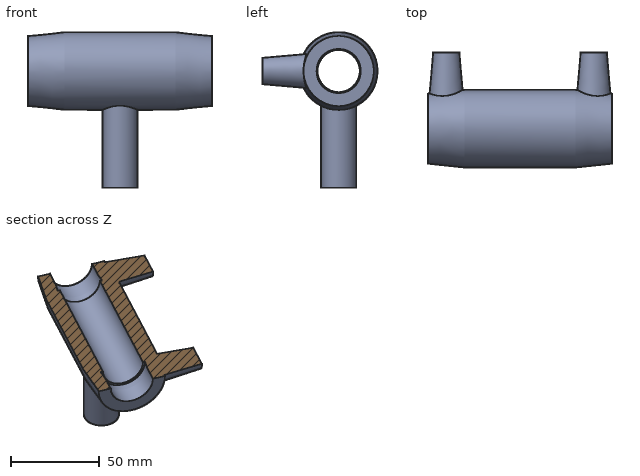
import cadquery as cq

length = 104.0
half_length = length / 2
barrel_dia = 44.0
barrel_end_dia = 0.9 * barrel_dia
taper_length = length / 5
straight_half = half_length - taper_length

bore_dia = 23.75
mouth_dia = 25.0
mouth_depth = length / 10
seat_dia = 26.25
seat_depth = 15.2

stem_dia = 20.0
stem_reach = 66.0

spigot_root_dia = 20.0
spigot_tip_dia = 15.0
spigot_reach = 43.0
spigot_root_y = 14.3
spigot_x = half_length - taper_length / 2


def revolve_about_x(left_half):
    """Turn a profile given as (x, radius) points up to mid-length, mirrored to both ends."""
    right_half = [(-x, radius) for x, radius in reversed(left_half)]
    outline = [(-half_length, 0), *left_half, *right_half, (half_length, 0)]
    return cq.Workplane("XY").polyline(outline).close().revolve(360, (0, 0, 0), (1, 0, 0))


def make_barrel():
    """Round barrel with a conical stretch at each end."""
    return revolve_about_x([
        (-half_length, barrel_end_dia / 2),
        (-straight_half, barrel_dia / 2),
    ])


def make_bore():
    """Straight mouth, a cone flaring inwards, then a flat shoulder down to the middle bore."""
    mouth_end_x = -half_length + mouth_depth
    shoulder_x = -half_length + seat_depth
    return revolve_about_x([
        (-half_length, mouth_dia / 2),
        (mouth_end_x, mouth_dia / 2),
        (shoulder_x, seat_dia / 2),
        (shoulder_x, bore_dia / 2),
    ])


def make_stem():
    """Round stem from the barrel axis down to its foot."""
    return cq.Workplane("XY").circle(stem_dia / 2).extrude(-stem_reach)


def make_spigot(x):
    """Cone rooted inside the barrel wall, narrowing towards +Y."""
    cone = cq.Solid.makeCone(
        spigot_root_dia / 2,
        spigot_tip_dia / 2,
        spigot_reach - spigot_root_y,
        pnt=cq.Vector(x, spigot_root_y, 0),
        dir=cq.Vector(0, 1, 0),
    )
    return cq.Workplane(cone)


body = make_barrel().union(make_stem())
for side in (-1, 1):
    body = body.union(make_spigot(side * spigot_x))

result = body.cut(make_bore())